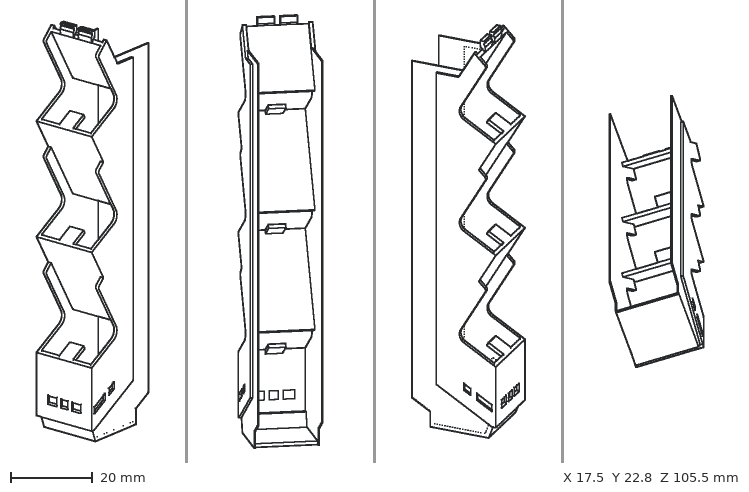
import cadquery as cq
import math

WIDTH = 17.5
DEPTH = 22.8
HEIGHT = 105.5

TILT_ANGLE = math.radians(30)
TILT = math.tan(TILT_ANGLE)

LINER_HALF_WIDTH = 8.1
INNER_HALF_WIDTH = 7.8
HALF_WIDTH = WIDTH / 2

CELL_COUNT = 3
CELL_PITCH = 30.2
FIRST_SHELF_Z = 19.9
NOTCH_RADIUS = 2.4
TIP_RADIUS = 0.7
TOOTH_TIP_Y = 2.5
TOOTH_TIP_DROP = 9.9
PLATE_THICKNESS = 1.0
PLATE_LENGTH = 25.8
TAB_WIDTH = 4.3
TAB_LENGTH = 5.7

SKIN_BACK_Y = 16.0
SKIN_TOP_Z = 96.4
FRONT_WALL_BOTTOM_Z = 3.5
TOP_EDGE_BACK_Y = 5.8

LINER_TOP_Z = 98.1
LINER_BACK_BOTTOM_Z = 7.0
FOOT_BACK_Y = 17.9
FOOT_FRONT_Y = 2.2
FOOT_FRONT_TOP_Y = 1.0
FLOOR_THICKNESS = 1.0
FLOOR_BACK_Y = 17.4

TONGUE_WIDTH = 4.2
TONGUE_CENTRE_X = 2.8
TONGUE_GROOVE = 0.3
TONGUE_BACK_Y = 5.9
BEAD_DROP = 0.3
GROOVE_DROP = 0.7
GROOVE_END_DROP = 1.6

RECESS_DEPTH = HALF_WIDTH - LINER_HALF_WIDTH
FRONT_RECESS_BOTTOM_Z = 7.3
FRONT_RECESS_HEIGHT = 2.2
FRONT_RECESSES = [(-3.8, 2.8), (0, 2.2), (3.8, 2.8)]
SIDE_RECESS_HEIGHT = 1.8
SIDE_RECESSES = [(6.8, 8.7), (1.1, 5.2)]
SIDE_RECESS_LINE_Z = 7.1

TOP_SHELF_Z = FIRST_SHELF_Z + CELL_PITCH * CELL_COUNT
TOP_TIP_Z = TOP_SHELF_Z - TOOTH_TIP_DROP
TOP_EDGE_BACK_Z = TOP_TIP_Z + TOP_EDGE_BACK_Y - TOOTH_TIP_Y
PLATE_HORIZONTAL = PLATE_THICKNESS * math.cos(TILT_ANGLE)


def slab_x(points, half_width):
    """Closed Y-Z outline extruded symmetrically about X = 0."""
    return cq.Workplane("YZ").polyline(points).close().extrude(half_width, both=True)


def cell_shelf_z(index):
    """Height of the shelf front edge of a cell, counted from the bottom."""
    return FIRST_SHELF_Z + index * CELL_PITCH


def tooth_and_plate_meet(shelf_z):
    """Point where the 45 degree tooth top meets the plate face below a shelf edge."""
    drop = (TOOTH_TIP_DROP + TOOTH_TIP_Y) / (1 + TILT)
    return drop * TILT, shelf_z - drop


def notch_corner(shelf_z):
    """Sharp inner corner between a shelf and the tooth above it."""
    tip_rise = CELL_PITCH - TOOTH_TIP_DROP
    y = (TOOTH_TIP_Y + tip_rise * TILT) / (1 + TILT**2)
    return y, shelf_z + y * TILT


def wall_outline():
    """Front profile of the side walls, ordered upwards from the lowest shelf edge."""
    points = []
    for index in range(CELL_COUNT):
        shelf_z = cell_shelf_z(index)
        next_shelf_z = shelf_z + CELL_PITCH
        points.append((0, shelf_z))
        points.append(notch_corner(shelf_z))
        points.append((TOOTH_TIP_Y, next_shelf_z - TOOTH_TIP_DROP))
        if index < CELL_COUNT - 1:
            points.append(tooth_and_plate_meet(next_shelf_z))
    points.append((TOP_EDGE_BACK_Y, TOP_EDGE_BACK_Z))
    return points


def rear_slope_y(z):
    """Y of the leaning rear face of the top of the side walls."""
    return TOP_EDGE_BACK_Y + (TOP_EDGE_BACK_Z - z) * TILT


def round_teeth(body):
    """Round the notch corners and the tooth tips."""
    for index in range(CELL_COUNT):
        shelf_z = cell_shelf_z(index)
        tip = (TOOTH_TIP_Y, shelf_z + CELL_PITCH - TOOTH_TIP_DROP)
        for (y, z), radius in ((notch_corner(shelf_z), NOTCH_RADIUS), (tip, TIP_RADIUS)):
            body = body.edges(cq.selectors.NearestToPointSelector((0, y, z))).fillet(radius)
    return body


def make_skin():
    """Thicker outer layer of the side walls."""
    skin_bottom_back_z = FRONT_WALL_BOTTOM_Z + (SKIN_BACK_Y - FOOT_FRONT_TOP_Y) * TILT
    points = wall_outline() + [
        (rear_slope_y(SKIN_TOP_Z), SKIN_TOP_Z),
        (SKIN_BACK_Y, SKIN_TOP_Z),
        (SKIN_BACK_Y, skin_bottom_back_z),
        (FOOT_FRONT_TOP_Y, FRONT_WALL_BOTTOM_Z),
        (0, FRONT_WALL_BOTTOM_Z),
    ]
    return round_teeth(slab_x(points, HALF_WIDTH))


def make_liner():
    """Thin full-depth layer of the side walls, with the foot."""
    foot_back_z = LINER_BACK_BOTTOM_Z - (DEPTH - FOOT_BACK_Y) * TILT
    points = wall_outline() + [
        (rear_slope_y(LINER_TOP_Z), LINER_TOP_Z),
        (DEPTH, LINER_TOP_Z),
        (DEPTH, LINER_BACK_BOTTOM_Z),
        (FOOT_BACK_Y, foot_back_z),
        (FOOT_BACK_Y, 0),
        (FOOT_FRONT_Y, 0),
        (FOOT_FRONT_TOP_Y, FRONT_WALL_BOTTOM_Z),
        (0, FRONT_WALL_BOTTOM_Z),
    ]
    return round_teeth(slab_x(points, LINER_HALF_WIDTH))


def make_interior():
    """Space between the two side walls."""
    return cq.Workplane("XY").box(
        2 * INNER_HALF_WIDTH, 2 * DEPTH, 2 * HEIGHT, centered=(True, True, True)
    )


def along(shelf_z, down, back):
    """Point a distance down the plate face and a distance behind it."""
    cos_tilt = math.cos(TILT_ANGLE)
    sin_tilt = math.sin(TILT_ANGLE)
    return down * sin_tilt + back * cos_tilt, shelf_z - down * cos_tilt + back * sin_tilt


def make_plate(shelf_z):
    """Leaning plate hanging down and back from a shelf edge."""
    points = [
        along(shelf_z, 0, 0),
        along(shelf_z, PLATE_LENGTH, 0),
        along(shelf_z, PLATE_LENGTH, PLATE_THICKNESS),
        along(shelf_z, 0, PLATE_THICKNESS),
    ]
    return slab_x(points, INNER_HALF_WIDTH)


def make_tab(shelf_z):
    """Tongue running back from the shelf edge in the shelf plane."""
    points = [
        along(shelf_z, 0, 0),
        along(shelf_z, 0, TAB_LENGTH),
        along(shelf_z, PLATE_THICKNESS, TAB_LENGTH),
        along(shelf_z, PLATE_THICKNESS, 0),
    ]
    return slab_x(points, TAB_WIDTH / 2)


def make_top_plate():
    """Uppermost plate, trimmed along the 45 degree top edge of the side walls."""
    plate = make_plate(TOP_SHELF_Z)
    front_y, front_z = tooth_and_plate_meet(TOP_SHELF_Z)
    above_edge = [
        (front_y - DEPTH, front_z - DEPTH),
        (front_y + DEPTH, front_z + DEPTH),
        (front_y - DEPTH, front_z + DEPTH),
    ]
    return plate.cut(slab_x(above_edge, WIDTH))


def make_front_wall():
    """Upright wall below the lowest shelf edge."""
    points = [
        (0, FRONT_WALL_BOTTOM_Z),
        (0, FIRST_SHELF_Z),
        (PLATE_HORIZONTAL, FIRST_SHELF_Z + PLATE_HORIZONTAL * TILT),
        (PLATE_HORIZONTAL, FRONT_WALL_BOTTOM_Z),
    ]
    return slab_x(points, INNER_HALF_WIDTH)


def make_foot():
    """Floor and leaning front wall closing the bottom of the liner."""
    points = [
        (FOOT_FRONT_Y, 0),
        (FLOOR_BACK_Y, 0),
        (FLOOR_BACK_Y, FLOOR_THICKNESS),
        (FOOT_FRONT_Y + PLATE_THICKNESS, FLOOR_THICKNESS),
        (FOOT_FRONT_TOP_Y + PLATE_THICKNESS, FRONT_WALL_BOTTOM_Z + PLATE_THICKNESS),
        (0, FRONT_WALL_BOTTOM_Z + PLATE_THICKNESS),
        (0, FRONT_WALL_BOTTOM_Z),
        (FOOT_FRONT_TOP_Y, FRONT_WALL_BOTTOM_Z),
    ]
    return slab_x(points, INNER_HALF_WIDTH)


def make_tongue(centre_x):
    """Latch tongue with a grooved front face."""
    front_y, front_z = tooth_and_plate_meet(TOP_SHELF_Z)
    groove_y = front_y + TONGUE_GROOVE
    points = [
        (TONGUE_BACK_Y, HEIGHT),
        (groove_y, HEIGHT),
        (front_y, HEIGHT - BEAD_DROP),
        (groove_y, HEIGHT - GROOVE_DROP),
        (front_y, HEIGHT - GROOVE_END_DROP),
        (front_y, front_z),
        (TONGUE_BACK_Y, front_z + TONGUE_BACK_Y - front_y),
    ]
    return slab_x(points, TONGUE_WIDTH / 2).translate((centre_x, 0, 0))


def make_front_recess(centre_x, width):
    """Window in the front wall, sunk parallel to the shelves."""
    inner_z = FRONT_RECESS_BOTTOM_Z + RECESS_DEPTH * TILT
    points = [
        (0, FRONT_RECESS_BOTTOM_Z),
        (RECESS_DEPTH, inner_z),
        (RECESS_DEPTH, inner_z + FRONT_RECESS_HEIGHT),
        (0, FRONT_RECESS_BOTTOM_Z + FRONT_RECESS_HEIGHT),
    ]
    return slab_x(points, width / 2).translate((centre_x, 0, 0))


def make_side_recesses(front_y, back_y):
    """Matching slanted windows through the skin on both sides."""
    low_z = SIDE_RECESS_LINE_Z + front_y * TILT
    high_z = SIDE_RECESS_LINE_Z + back_y * TILT
    points = [
        (front_y, low_z),
        (back_y, high_z),
        (back_y, high_z + SIDE_RECESS_HEIGHT),
        (front_y, low_z + SIDE_RECESS_HEIGHT),
    ]
    return slab_x(points, HALF_WIDTH).cut(slab_x(points, LINER_HALF_WIDTH))


body = make_skin().union(make_liner()).cut(make_interior())

for cell in range(CELL_COUNT):
    body = body.union(make_tab(cell_shelf_z(cell)))
for cell in range(1, CELL_COUNT):
    body = body.union(make_plate(cell_shelf_z(cell)))
body = body.union(make_top_plate()).union(make_front_wall()).union(make_foot())
for side in (-1, 1):
    body = body.union(make_tongue(side * TONGUE_CENTRE_X))

for centre_x, width in FRONT_RECESSES:
    body = body.cut(make_front_recess(centre_x, width))
for front_y, back_y in SIDE_RECESSES:
    body = body.cut(make_side_recesses(front_y, back_y))

result = body